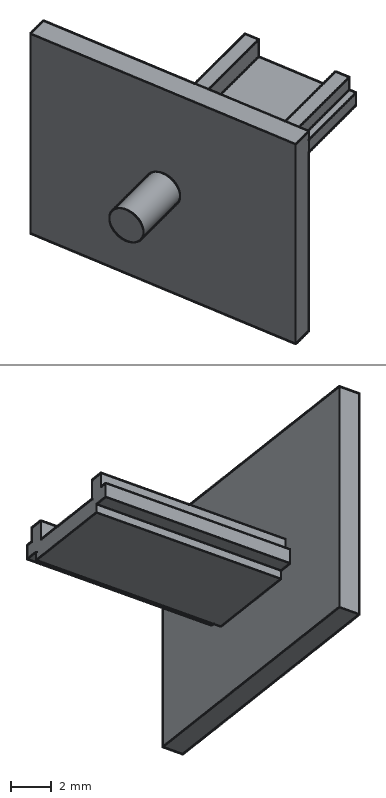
import cadquery as cq

PLATE_WIDTH = 15.5
PLATE_HEIGHT = 12.8
PLATE_THICKNESS = 1.2

PIN_DIAMETER = 2.0
PIN_LENGTH = 3.3

OVERALL_LENGTH = 15.4
SLIDE_LENGTH = OVERALL_LENGTH - PIN_LENGTH - PLATE_THICKNESS
SLIDE_WIDTH = 6.9
RIB_WIDTH = 0.8
LEDGE_WIDTH = 0.4
LEDGE_DROP = 0.8
LEDGE_THICKNESS = 0.8
SLIDE_HEIGHT = 2.1
CHANNEL_DEPTH = 1.1
FOOT_INSET = 0.8


def make_plate():
    return cq.Workplane("XY").box(PLATE_WIDTH, PLATE_THICKNESS, PLATE_HEIGHT, centered=(True, False, True))


def make_pin():
    return cq.Workplane("XZ").circle(PIN_DIAMETER / 2).extrude(PIN_LENGTH)


def make_slide():
    """Channel with two ribs on top, a ledge along each side and a narrower foot below."""
    ledge_x = SLIDE_WIDTH / 2
    rib_outer_x = ledge_x - LEDGE_WIDTH
    rib_inner_x = rib_outer_x - RIB_WIDTH
    foot_x = ledge_x - FOOT_INSET
    ledge_bottom_z = -LEDGE_DROP - LEDGE_THICKNESS
    right_half = [
        (rib_inner_x, -CHANNEL_DEPTH),
        (rib_inner_x, 0),
        (rib_outer_x, 0),
        (rib_outer_x, -LEDGE_DROP),
        (ledge_x, -LEDGE_DROP),
        (ledge_x, ledge_bottom_z),
        (foot_x, ledge_bottom_z),
        (foot_x, -SLIDE_HEIGHT),
    ]
    left_half = [(-x, z) for x, z in reversed(right_half)]
    return (
        cq.Workplane("XZ", origin=(0, PLATE_THICKNESS, 0))
        .polyline(right_half + left_half)
        .close()
        .extrude(-SLIDE_LENGTH)
    )


plate = make_plate()
pin = make_pin()
slide = make_slide()

result = cq.Compound.makeCompound([plate.val(), pin.val(), slide.val()])